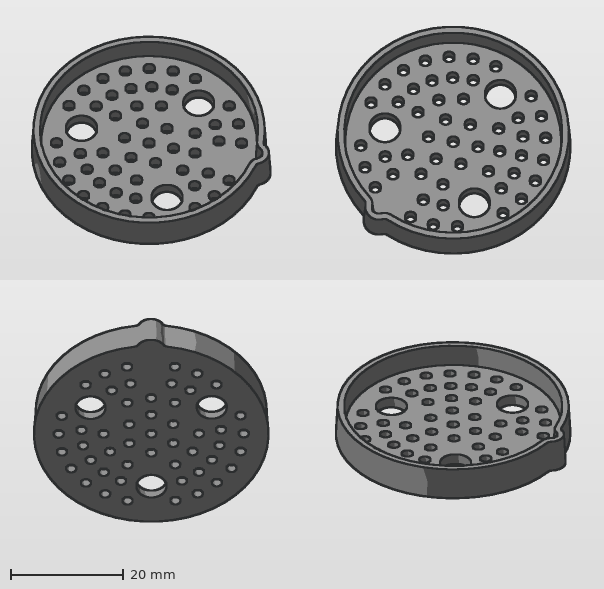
import cadquery as cq
import math

height = 6.0
floor_thickness = 2.0
base_radius = 20.95
wall_thickness = 1.17
draft_slope = math.tan(math.radians(3))
rim_radius = base_radius - height * draft_slope

spout_angle = 30
spout_distance = 19.65
spout_rim_radius = 2.45
outer_blend_radius = 0.85
inner_blend_radius = outer_blend_radius + wall_thickness

small_hole_diameter = 2.0
large_hole_diameter = 5.58
first_ring_radius = 4.55
second_ring_radius = 8.5
third_ring_radius = 12.5
outer_ring_radius = 16.52
large_hole_angles = [-150, -30, 90]
group_angles = [-90, 30, 150]
third_ring_step = 17.1


def frustum(bottom_z, top_z, bottom_radius, top_radius, center=(0, 0)):
    """Upright cone section between two heights."""
    cone = cq.Solid.makeCone(
        bottom_radius,
        top_radius,
        top_z - bottom_z,
        pnt=cq.Vector(*center, bottom_z),
    )
    return cq.Workplane(obj=cone)


def spouted_disc(bottom_z, disc_rim_radius, lobe_rim_radius, slope, blend_radius):
    """Round body with a spout lobe on +X; slope is the radius gained per unit below the rim."""
    growth = (height - bottom_z) * slope
    disc = frustum(bottom_z, height, disc_rim_radius + growth, disc_rim_radius)
    lobe = frustum(
        bottom_z,
        height,
        lobe_rim_radius + growth,
        lobe_rim_radius,
        center=(spout_distance, 0),
    )
    corner_reach = lobe_rim_radius + abs(growth)
    body = disc.union(lobe)
    for side in (-1, 1):
        near_corner = cq.selectors.BoxSelector(
            (spout_distance - corner_reach, side * lobe_rim_radius / 2, bottom_z),
            (spout_distance + corner_reach, side * corner_reach, height),
        )
        body = body.edges(near_corner).fillet(blend_radius)
    return body.rotate((0, 0, 0), (0, 0, 1), spout_angle)


def polar_point(radius, angle):
    """Point at a radius and an angle in degrees about the dish axis."""
    radians = math.radians(angle)
    return (radius * math.cos(radians), radius * math.sin(radians))


def small_hole_centers():
    """Center hole and four rings, leaving room for the large holes and the spout."""
    centers = [(0, 0)]
    for angle in range(30, 390, 60):
        centers.append(polar_point(first_ring_radius, angle))
    for angle in range(-180, 180, 30):
        if angle not in large_hole_angles:
            centers.append(polar_point(second_ring_radius, angle))
    for group_angle in group_angles:
        for step in range(-2, 3):
            if group_angle != spout_angle or step != 0:
                angle = group_angle + step * third_ring_step
                centers.append(polar_point(third_ring_radius, angle))
    for angle in range(-180, 180, 15):
        if angle not in large_hole_angles and angle != spout_angle:
            centers.append(polar_point(outer_ring_radius, angle))
    return centers


def drain_hole(diameter, center):
    """Cutter through the floor, narrowing downwards with the wall draft."""
    top_radius = diameter / 2
    bottom_radius = top_radius - floor_thickness * draft_slope
    return frustum(0, floor_thickness, bottom_radius, top_radius, center)


outside = spouted_disc(0, rim_radius, spout_rim_radius, draft_slope, outer_blend_radius)
pocket = spouted_disc(
    floor_thickness,
    rim_radius - wall_thickness,
    spout_rim_radius - wall_thickness,
    -draft_slope,
    inner_blend_radius,
)
dish = outside.cut(pocket)

cutters = [drain_hole(small_hole_diameter, center) for center in small_hole_centers()]
for hole_angle in large_hole_angles:
    hole_center = polar_point(third_ring_radius, hole_angle)
    cutters.append(drain_hole(large_hole_diameter, hole_center))

result = dish
for cutter in cutters:
    result = result.cut(cutter)